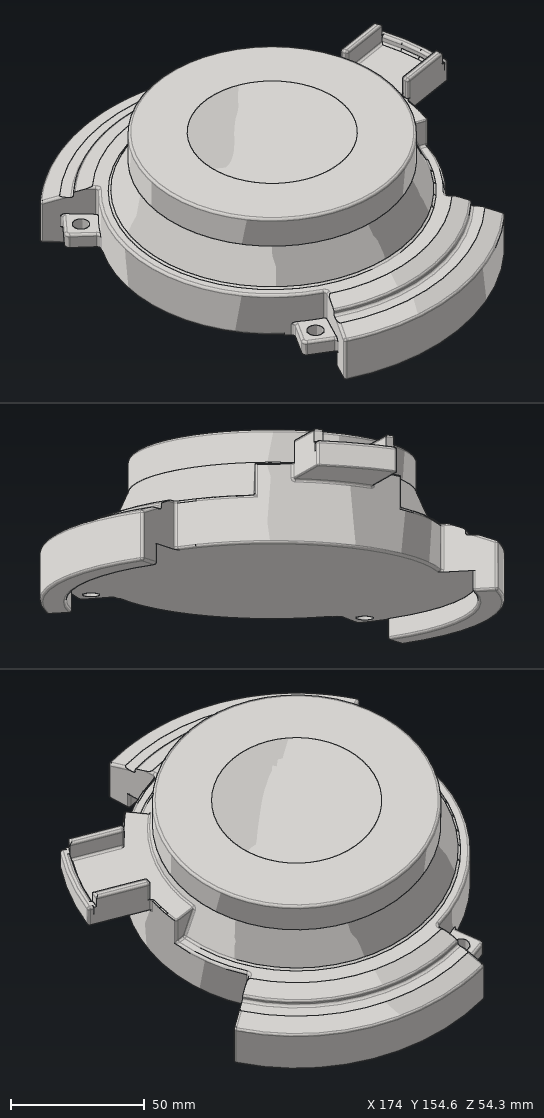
import cadquery as cq
import math

edge_round = 1.0

match_tolerance = 0.09

drum_radius = 65.0
drum_bottom = 8.0
drum_top = 26.8
cone_base_radius = 60.7
collar_radius = 108.0 / 2
collar_bottom = 41.5
body_top = 54.3

dish_radius = 31.8
dish_depth = 8.7

wing_radius = 87.0
wing_half_angle = 35.0
wing_slope = math.tan(math.radians(20))
upper_slope_radius = 67.3
step_radius = 74.5
groove_floor = 21.7
lower_slope_radius = 79.7
leg_inner_radius = 77.0
wing_upper_drop = (step_radius - upper_slope_radius) * wing_slope
wing_lower_drop = (wing_radius - lower_slope_radius) * wing_slope

lug_angle = 220.0
lug_hole_distance = 71.7
lug_hole_diameter = 6.5
lug_half_width = 6.5
lug_top = 14.1
lug_tip_round = 2.0
lug_drum_round = 1.5
lug_blend_half_angle = 9.0

shelf_half_angle = 27.0
shelf_top = 38.8
shelf_top_round = 0.5
shelf_cone_round = 0.9

tray_half_width = 16.0
tray_end_radius = 89.6
tray_wall = 3.3
tray_bottom = 32.7
tray_end_wall_top = 42.5
tray_side_wall_top = 47.7
tray_floor_round = 0.9
tray_bottom_round = 0.5
tray_inner_radius = tray_end_radius - tray_wall
tray_inner_half_width = tray_half_width - tray_wall


def disc(radius, bottom, top):
    return cq.Workplane("XY").workplane(offset=bottom).circle(radius).extrude(top - bottom)


def polar(radius, degrees):
    angle = math.radians(degrees)
    return (radius * math.cos(angle), radius * math.sin(angle))


def sector(middle_angle, half_angle, bottom, top):
    """Wedge with its apex on the Z axis that reaches past every other part."""
    reach = 2 * wing_radius
    return (
        cq.Workplane("XY").workplane(offset=bottom)
        .polyline([
            (0, 0),
            polar(reach, middle_angle - half_angle),
            polar(reach, middle_angle + half_angle),
        ])
        .close()
        .extrude(top - bottom)
    )


def edges_where(shape, test):
    return shape.newObject([edge for edge in shape.edges().vals() if test(edge)])


def axis_distance(edge):
    middle = edge.Center()
    return math.hypot(middle.x, middle.y)


def at_height(edge, height):
    return abs(edge.Center().z - height) < match_tolerance


def ring_edges(shape, radius, height):
    """Circular edges around the Z axis with the given radius and height."""
    def matches(edge):
        center = edge.arcCenter()
        off_axis = math.hypot(center.x, center.y)
        return at_height(edge, height) and max(off_axis, abs(edge.radius() - radius)) < match_tolerance
    return edges_where(shape, lambda edge: edge.geomType() == "CIRCLE" and matches(edge))


def upright_edges(shape, x, y):
    """Vertical edges that stand at (x, y) or at its mirror image across the YZ plane."""
    def matches(edge):
        middle = edge.Center()
        upright = abs(edge.tangentAt(0.5).z) > 0.99
        return upright and math.hypot(abs(middle.x) - abs(x), middle.y - y) < match_tolerance
    return edges_where(shape, matches)


def make_dish():
    sphere_radius = (dish_radius**2 + dish_depth**2) / (2 * dish_depth)
    center_height = body_top - dish_depth + sphere_radius
    return cq.Workplane("XY").sphere(sphere_radius).translate((0, 0, center_height))


def make_body():
    body = (
        cq.Workplane("XZ")
        .polyline([
            (0, drum_bottom),
            (drum_radius, drum_bottom),
            (drum_radius, drum_top),
            (cone_base_radius, drum_top),
            (collar_radius, collar_bottom),
            (collar_radius, body_top),
            (0, body_top),
        ])
        .close()
        .revolve(360, (0, 0, 0), (0, 1, 0))
    )
    for radius, height in ((collar_radius, body_top), (drum_radius, drum_bottom),
                           (cone_base_radius, drum_top)):
        body = ring_edges(body, radius, height).fillet(edge_round)
    return body.cut(make_dish())


def make_wing():
    """Right wing, centred on the +X axis."""
    step_top = drum_top - wing_upper_drop
    outer_top = groove_floor - wing_lower_drop
    ring = (
        cq.Workplane("XZ")
        .polyline([
            (cone_base_radius, drum_bottom),
            (leg_inner_radius, drum_bottom),
            (leg_inner_radius, 0),
            (wing_radius, 0),
            (wing_radius, outer_top),
            (lower_slope_radius, groove_floor),
            (step_radius, groove_floor),
            (step_radius, step_top),
            (upper_slope_radius, drum_top),
            (cone_base_radius, drum_top),
        ])
        .close()
        .revolve(360, (0, 0, 0), (0, 1, 0))
    )
    wing = ring.intersect(sector(0, wing_half_angle, 0, drum_top))
    for end_angle in (-wing_half_angle, wing_half_angle):
        wing = upright_edges(wing, *polar(wing_radius, end_angle)).fillet(edge_round)
    for radius, height in ((wing_radius, outer_top), (wing_radius, 0), (leg_inner_radius, 0),
                           (step_radius, step_top), (step_radius, groove_floor)):
        wing = ring_edges(wing, radius, height).fillet(edge_round)
    return wing


def mirrored(shape):
    return shape.union(shape.mirror("YZ"))


def join_wings(body):
    """Add both wings, round the corners at their roots and then the drum's free rim."""
    part = body.union(mirrored(make_wing()))
    for end_angle in (-wing_half_angle, wing_half_angle):
        part = upright_edges(part, *polar(drum_radius, end_angle)).fillet(edge_round)
    return ring_edges(part, drum_radius, drum_top).fillet(edge_round)


def make_lug():
    """Lug with one pair of sides square to its radius; its rear runs on into the wing."""
    outer_radius = lug_hole_distance + lug_half_width
    rear_reach = 2 * lug_half_width
    lug = (
        cq.Workplane("XY").workplane(offset=drum_bottom)
        .moveTo(outer_radius, lug_half_width)
        .lineTo(cone_base_radius, lug_half_width)
        .lineTo(cone_base_radius, -rear_reach)
        .lineTo(outer_radius, -rear_reach)
        .close()
        .extrude(lug_top - drum_bottom)
    )
    lug = upright_edges(lug, outer_radius, lug_half_width).fillet(lug_tip_round)
    return lug.rotate((0, 0, 0), (0, 0, 1), lug_angle)


def lug_wing_corner():
    """Place where the left lug's outer side meets the wing's end face."""
    outer_radius = lug_hole_distance + lug_half_width
    face_angle = 180 + wing_half_angle
    return polar(outer_radius / math.cos(math.radians(lug_angle - face_angle)), face_angle)


def lug_drum_corner():
    """Place where the left lug's front side meets the drum."""
    side_angle = math.degrees(math.asin(lug_half_width / drum_radius))
    return polar(drum_radius, lug_angle + side_angle)


def make_left_lug():
    """Lug rounded together with a slice of the drum and wing, so that it blends into both."""
    slice_radius = wing_radius - 2 * edge_round
    wing_slice = disc(slice_radius, drum_bottom, lug_top)
    wing_slice = wing_slice.intersect(sector(180, wing_half_angle, drum_bottom, lug_top))
    layer = disc(drum_radius, drum_bottom, lug_top).union(wing_slice).union(make_lug())
    layer = upright_edges(layer, *lug_wing_corner()).fillet(edge_round)
    layer = upright_edges(layer, *lug_drum_corner()).fillet(lug_drum_round)
    layer = layer.faces(">Z").edges().fillet(edge_round)
    return layer.intersect(sector(lug_angle, lug_blend_half_angle, drum_bottom, lug_top))


def make_lug_hole():
    x, y = polar(lug_hole_distance, lug_angle)
    return disc(lug_hole_diameter / 2, drum_bottom, lug_top).translate((x, y, 0))


def make_shelf():
    bottom = drum_top - 2 * edge_round
    shelf = disc(drum_radius, bottom, shelf_top)
    shelf = shelf.intersect(sector(90, shelf_half_angle, bottom, shelf_top))
    shelf = upright_edges(shelf, *polar(drum_radius, 90 - shelf_half_angle)).fillet(edge_round)
    return shelf.faces(">Z").edges().fillet(shelf_top_round)


def tray_strip(half_width, bottom, top):
    """Straight strip along +Y, from the Z axis to past the tray's end."""
    length = 2 * tray_end_radius
    return (
        cq.Workplane("XY").workplane(offset=bottom)
        .center(0, length / 2)
        .rect(2 * half_width, length)
        .extrude(top - bottom)
    )


def make_tray():
    """Tray with a floor level with the shelf, two side walls and a lower curved end wall."""
    pan = disc(tray_end_radius, tray_bottom, tray_end_wall_top)
    pan = pan.cut(disc(tray_inner_radius, shelf_top, tray_end_wall_top))
    pan = ring_edges(pan, tray_inner_radius, tray_end_wall_top).fillet(edge_round)
    pan = pan.intersect(tray_strip(tray_half_width, tray_bottom, tray_end_wall_top))
    end_y = math.sqrt(tray_end_radius**2 - tray_half_width**2)
    pan = upright_edges(pan, tray_half_width, end_y).fillet(edge_round)
    pan = ring_edges(pan, tray_end_radius, tray_end_wall_top).fillet(edge_round)

    walls = tray_strip(tray_half_width, tray_bottom, tray_side_wall_top)
    walls = walls.cut(tray_strip(tray_inner_half_width, tray_bottom, tray_side_wall_top))
    wall_reach = disc(tray_inner_radius, tray_bottom, tray_side_wall_top)
    wall_reach = wall_reach.union(disc(tray_inner_radius + edge_round, tray_bottom, tray_end_wall_top))
    walls = walls.intersect(wall_reach)
    walls = walls.cut(disc(drum_radius, tray_bottom, tray_side_wall_top))
    tray = pan.union(walls)

    def floor_edge(edge):
        inside = abs(edge.Center().x) < tray_inner_half_width + match_tolerance
        return at_height(edge, shelf_top) and inside and axis_distance(edge) > drum_radius + edge_round

    def wall_end(edge):
        above_floor = edge.Center().z > shelf_top + match_tolerance
        return abs(edge.tangentAt(0.5).z) > 0.99 and above_floor and edge.Center().y < drum_radius

    def wall_top(edge):
        return at_height(edge, tray_side_wall_top)

    def bottom_edge(edge):
        return at_height(edge, tray_bottom) and edge.Center().y > match_tolerance

    for test, size in ((floor_edge, tray_floor_round), (wall_end, edge_round),
                       (wall_top, edge_round), (bottom_edge, tray_bottom_round)):
        tray = edges_where(tray, test).fillet(size)
    return tray


def make_shelf_with_tray():
    part = make_shelf().union(make_tray())
    root_y = math.sqrt(drum_radius**2 - tray_half_width**2)

    def tray_root(edge):
        on_root = math.hypot(abs(edge.Center().x) - tray_half_width, edge.Center().y - root_y)
        return on_root < match_tolerance and tray_bottom < edge.Center().z < shelf_top
    return edges_where(part, tray_root).fillet(edge_round)


def join_shelf(body):
    """Add the shelf with its tray and round the inner corners where it meets the cone."""
    part = body.union(make_shelf_with_tray())

    def cone_edge(edge):
        middle = edge.Center()
        between = drum_top + edge_round < middle.z < shelf_top + match_tolerance
        on_side = abs(abs(math.degrees(math.atan2(middle.x, middle.y))) - shelf_half_angle) < 1
        return between and on_side and axis_distance(edge) < cone_base_radius
    return edges_where(part, cone_edge).fillet(shelf_cone_round)


result = join_wings(make_body())
result = join_shelf(result)
result = result.union(mirrored(make_left_lug())).cut(mirrored(make_lug_hole()))